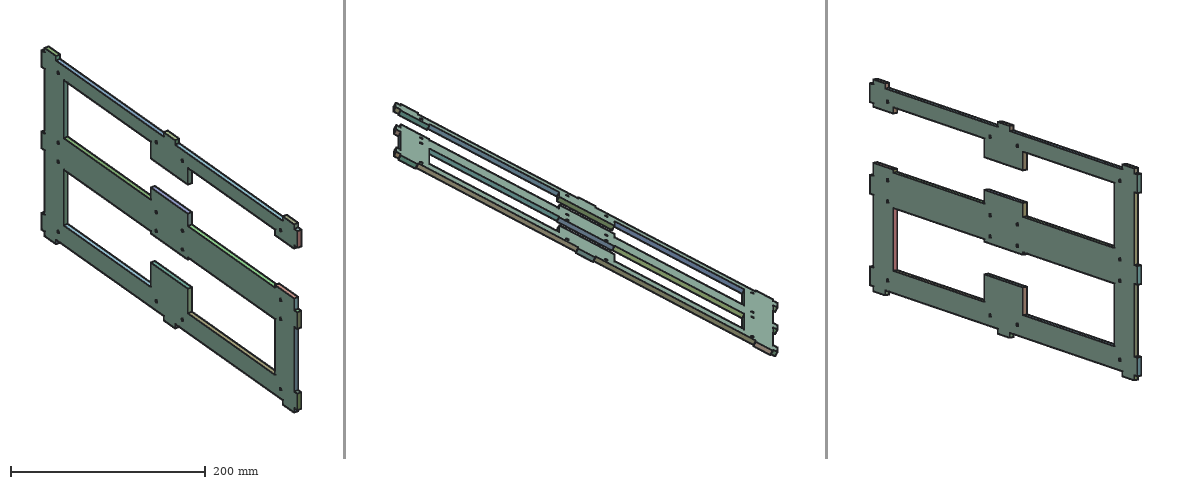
import cadquery as cq

thickness = 5.5
body_width = 433.5
body_height = 214.7
tab_depth = 5.5
tab_width = 20.0
long_tab_extra = 0.5

half_width = body_width / 2
half_height = body_height / 2

post_width = 33.5
post_inner_x = half_width - post_width
top_rail_bottom = 90.3
middle_rail_top = 21.0
middle_rail_bottom = -17.0
bottom_rail_top = -83.5

right_gap_top = 83.5
right_gap_bottom = 24.0

pad_width = 64.5
pad_gap = 34.5
middle_pad_top = 35.5
middle_pad_bottom = -19.5
top_pad_bottom = middle_pad_top + pad_gap
bottom_pad_top = middle_pad_bottom - pad_gap

hole_diameter = 3.0
outer_hole_x = 193.0
inner_hole_x = 22.5
hole_rows = (94.3, 10.5, -12.0, -96.0)


def plate(x_min, x_max, z_min, z_max):
    """Rectangular plate of the frame thickness."""
    width = x_max - x_min
    height = z_max - z_min
    center = ((x_min + x_max) / 2, 0, (z_min + z_max) / 2)
    return cq.Workplane("XY").box(width, thickness, height).translate(center)


def rails_and_pads():
    """Three full-width rails, each with its centre pad."""
    rails = (
        (top_rail_bottom, half_height),
        (middle_rail_bottom, middle_rail_top),
        (-half_height, bottom_rail_top),
    )
    pads = (
        (top_pad_bottom, half_height),
        (middle_pad_bottom, middle_pad_top),
        (-half_height, bottom_pad_top),
    )
    body = cq.Workplane("XY")
    for z_min, z_max in rails:
        body = body.union(plate(-half_width, half_width, z_min, z_max))
    for z_min, z_max in pads:
        body = body.union(plate(-pad_width / 2, pad_width / 2, z_min, z_max))
    return body


def posts():
    """Full left post and the two pieces of the right post."""
    left = plate(-half_width, -post_inner_x, -half_height, half_height)
    lower_right = plate(post_inner_x, half_width, -half_height, right_gap_bottom)
    upper_right = plate(post_inner_x, half_width, right_gap_top, half_height)
    return left.union(lower_right).union(upper_right)


def tabs():
    """Tabs at the ends and middle of all four sides, as strips across the frame."""
    corner_x = half_width - tab_width / 2
    corner_z = half_height - tab_width / 2
    reach_x = half_width + tab_depth
    reach_z = half_height + tab_depth
    strips = cq.Workplane("XY")
    for x in (-corner_x, 0, corner_x):
        for z_min, z_max in ((-reach_z, bottom_rail_top), (top_rail_bottom, reach_z)):
            strips = strips.union(plate(x - tab_width / 2, x + tab_width / 2, z_min, z_max))
    for z in (-corner_z, 0, corner_z):
        right_reach = reach_x
        if z == corner_z:
            right_reach += long_tab_extra
        for x_min, x_max in ((-reach_x, -post_inner_x), (post_inner_x, right_reach)):
            strips = strips.union(plate(x_min, x_max, z - tab_width / 2, z + tab_width / 2))
    return strips


def screw_holes():
    """Four rows of four through holes."""
    columns = (-outer_hole_x, -inner_hole_x, inner_hole_x, outer_hole_x)
    points = [(x, z) for x in columns for z in hole_rows]
    drills = cq.Workplane("XZ").pushPoints(points).circle(hole_diameter / 2)
    return drills.extrude(thickness, both=True)


result = rails_and_pads().union(posts()).union(tabs()).clean().cut(screw_holes())